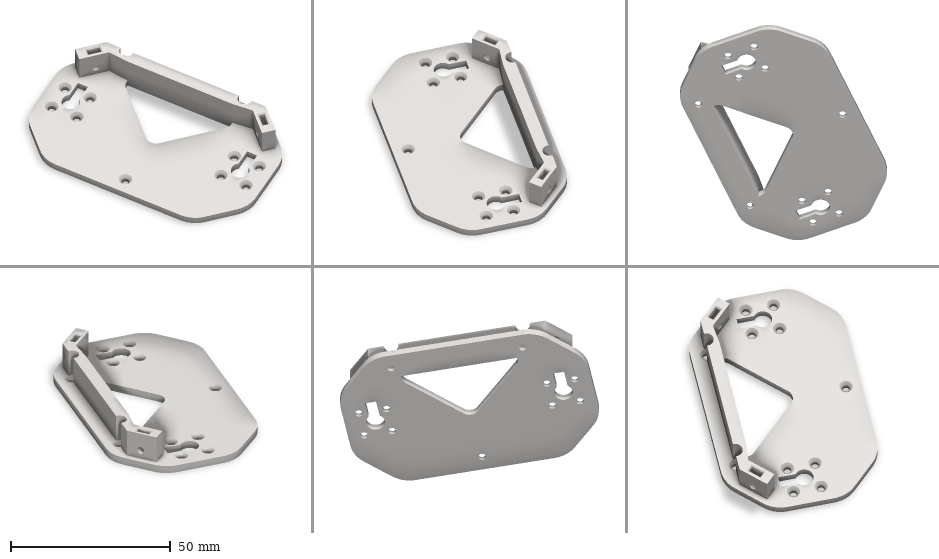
import cadquery as cq
import math

plate_length = 79.2
plate_width = 50.0
plate_thickness = 2.5
corner_cut = 13.3
corner_radius = 10.0

screw_diameter = 2.4
countersink_diameter = 4.2
countersink_depth = 1.1
end_screw_x = 21.0
end_screw_y = 20.0
screw_group_x = 30.0
screw_group_half_pitch = 4.4

keyhole_diameter = 5.9
keyhole_slot_width = 3.6
keyhole_slot_top = 8.0

window_half_width = 18.6
window_apex_y = -4.3
window_corner_diameter = 6.4

total_height = 11.5
wall_height = total_height - plate_thickness
wall_back_y = 20.35
wall_front_y = 16.3
wall_back_half_length = 28.3
wall_front_half_length = 18.85
wing_reach = 7.2
wing_thickness = 4.35
wing_root_x = 25.5
notch_diameter = 4.5

wing_screw_z = 5.4
nut_width = 4.3
nut_thickness = 1.8
pocket_chamfer = 0.4
pocket_center_x = 30.1

wing_end_leg = wing_thickness / math.sqrt(2)
wing_tip_x = wall_back_half_length + wing_reach
wing_tip_y = wall_back_y - wing_reach
wing_heel_x = wing_tip_x - wing_end_leg
wing_heel_y = wing_tip_y - wing_end_leg
wing_root_y = wing_heel_y + wing_heel_x - wing_root_x
pocket_center_y = (wing_tip_y + wing_heel_y + wing_tip_x + wing_heel_x) / 2 - pocket_center_x


def screw_positions():
    """Centres of the three end screws and the two groups of four."""
    points = [(-end_screw_x, end_screw_y), (end_screw_x, end_screw_y), (0, -end_screw_y)]
    for side in (-1, 1):
        for dx in (-screw_group_half_pitch, screw_group_half_pitch):
            for dy in (-screw_group_half_pitch, screw_group_half_pitch):
                points.append((side * screw_group_x + dx, dy))
    return points


def make_screw_cutter():
    """Through hole with a conical countersink at the plate top, on the Z axis."""
    hole_radius = screw_diameter / 2
    head_radius = countersink_diameter / 2
    return (
        cq.Workplane("XZ")
        .polyline([
            (0, 0),
            (hole_radius, 0),
            (hole_radius, plate_thickness - countersink_depth),
            (head_radius, plate_thickness),
            (0, plate_thickness),
        ])
        .close()
        .revolve(360, (0, 0), (0, 1))
    )


def make_keyhole(center_x):
    head = cq.Workplane("XY").center(center_x, 0).circle(keyhole_diameter / 2).extrude(plate_thickness)
    slot = (
        cq.Workplane("XY")
        .center(center_x, keyhole_slot_top / 2)
        .rect(keyhole_slot_width, keyhole_slot_top)
        .extrude(plate_thickness)
    )
    return head.union(slot)


def make_window():
    shoulder_y = window_apex_y + window_half_width
    return (
        cq.Workplane("XY")
        .polyline([
            (-window_half_width, wall_front_y),
            (-window_half_width, shoulder_y),
            (0, window_apex_y),
            (window_half_width, shoulder_y),
            (window_half_width, wall_front_y),
        ])
        .close()
        .extrude(plate_thickness)
        .edges("|Z and (not >Y)")
        .fillet(window_corner_diameter / 2)
    )


def make_plate():
    plate = (
        cq.Workplane("XY")
        .rect(plate_length, plate_width)
        .extrude(plate_thickness)
        .edges("|Z")
        .chamfer(corner_cut)
        .edges("|Z")
        .fillet(corner_radius)
        .cut(make_window())
    )
    screw_cutter = make_screw_cutter()
    for x, y in screw_positions():
        plate = plate.cut(screw_cutter.translate((x, y, 0)))
    for side in (-1, 1):
        plate = plate.cut(make_keyhole(side * screw_group_x))
    return plate


def make_wing_cutter(side):
    """Cross screw hole and top-loaded nut pocket for the wing on the given X side."""
    screw_hole = (
        cq.Workplane("XZ")
        .center(0, wing_screw_z)
        .circle(screw_diameter / 2)
        .extrude(wing_thickness, both=True)
    )
    half_width = nut_width / 2
    hexagon_radius = nut_width / math.sqrt(3)
    hexagon_flank_z = wing_screw_z - hexagon_radius / 2
    nut_slot = (
        cq.Workplane("XZ")
        .polyline([
            (-half_width, total_height),
            (-half_width, hexagon_flank_z),
            (0, wing_screw_z - hexagon_radius),
            (half_width, hexagon_flank_z),
            (half_width, total_height),
        ])
        .close()
        .extrude(nut_thickness / 2, both=True)
    )
    lead_in = (
        cq.Workplane("XY")
        .workplane(offset=total_height)
        .rect(nut_width + 2 * pocket_chamfer, nut_thickness + 2 * pocket_chamfer)
        .workplane(offset=-pocket_chamfer)
        .rect(nut_width, nut_thickness)
        .loft(ruled=True)
    )
    return (
        screw_hole.union(nut_slot)
        .union(lead_in)
        .rotate((0, 0, 0), (0, 0, 1), -side * 45)
        .translate((side * pocket_center_x, pocket_center_y, 0))
    )


def make_wall():
    right_half = [
        (wall_back_half_length, wall_back_y),
        (wing_tip_x, wing_tip_y),
        (wing_heel_x, wing_heel_y),
        (wing_root_x, wing_root_y),
        (wall_front_half_length, wall_front_y),
    ]
    left_half = [(-x, y) for x, y in reversed(right_half)]
    wall = (
        cq.Workplane("XY")
        .workplane(offset=plate_thickness)
        .polyline(right_half + left_half)
        .close()
        .extrude(wall_height)
    )
    notches = (
        cq.Workplane("XY")
        .workplane(offset=plate_thickness)
        .pushPoints([(-end_screw_x, end_screw_y), (end_screw_x, end_screw_y)])
        .circle(notch_diameter / 2)
        .extrude(wall_height)
    )
    wall = wall.cut(notches)
    for side in (-1, 1):
        wall = wall.cut(make_wing_cutter(side))
    return wall


plate = make_plate()
wall = make_wall()
result = cq.Compound.makeCompound([plate.solids().val(), wall.solids().val()])